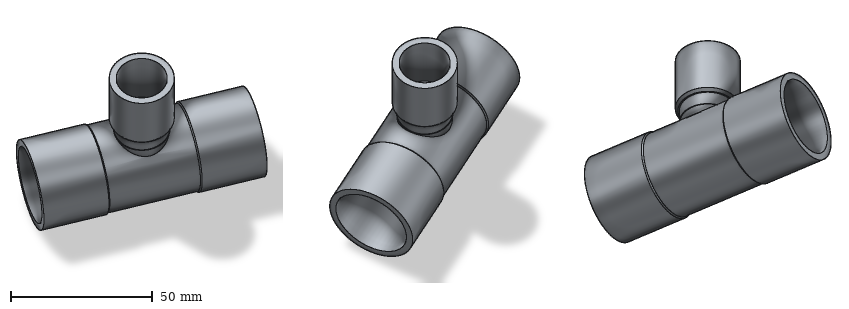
import cadquery as cq

run_length = 82.4
socket_diameter = 33.0
socket_length = 24.5
socket_chamfer = 0.5
middle_diameter = socket_diameter - 2 * socket_chamfer
run_bore_diameter = 28.0
run_bore_depth = 23.9

branch_top = 44.5
branch_diameter = 23.0
branch_bottom = 21.8
branch_chamfer = 1.0
neck_diameter = 20.0
neck_bottom = 16.6
neck_root_diameter = 19.5
branch_bore_diameter = 18.0
branch_bore_depth = 21.4


def cylinder_y(diameter, start, length):
    """Cylinder on the Y axis from start towards +Y."""
    plane = cq.Plane(origin=(0, start, 0), xDir=(1, 0, 0), normal=(0, 1, 0))
    return cq.Workplane(plane).circle(diameter / 2).extrude(length)


def cylinder_z(diameter, bottom, top):
    """Cylinder on the Z axis between two heights."""
    return cq.Workplane("XY").workplane(offset=bottom).circle(diameter / 2).extrude(top - bottom)


half_length = run_length / 2
body = cylinder_y(middle_diameter, -half_length, run_length)
front_socket = cylinder_y(socket_diameter, -half_length, socket_length)
front_socket = front_socket.faces(">Y").chamfer(socket_chamfer)
body = body.union(front_socket).union(front_socket.mirror("XZ"))

branch = cylinder_z(branch_diameter, branch_bottom, branch_top)
branch = branch.faces("<Z").chamfer(branch_chamfer)
neck = cylinder_z(neck_diameter, neck_bottom, branch_bottom)
neck_root = cylinder_z(neck_root_diameter, 0, neck_bottom)
body = body.union(neck_root).union(neck).union(branch)

for bore_start in (-half_length, half_length - run_bore_depth):
    body = body.cut(cylinder_y(run_bore_diameter, bore_start, run_bore_depth))
result = body.cut(cylinder_z(branch_bore_diameter, branch_top - branch_bore_depth, branch_top))